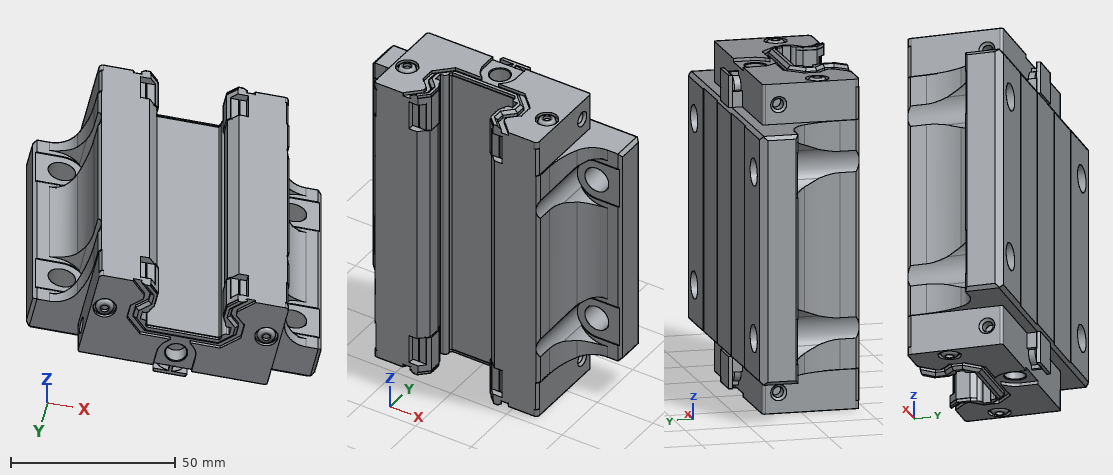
import cadquery as cq
import math


length = 105.0
width = 90.0
height = 35.0
half_width = width / 2
half_length = length / 2

block_half_length = 39.0
body_half_width = 29.8
flange_underside = 23.1
flange_fillet_radius = 8.4
flange_fillet_start = 40.0
web_arc_radius = 29.1
body_edge_chamfer = 0.8
body_edge_chamfer_rise = 1.2
flange_chamfer = 1.2
flange_top_chamfer = 2.0
flange_top_chamfer_drop = 2.1
flange_bottom_chamfer_rise = 0.8
top_recess_inner = 8.6
top_recess_outer = 25.1
top_recess_depth = 0.2

hole_x = 36.0
hole_z = 26.0
hole_diameter = 8.6
pad_radius = 7.0
pad_depth = 0.3
relief_radius = 8.9
relief_x = 38.3

channel_ceiling = 15.6
channel_mouth = 10.6
channel_foot = 13.5
block_clearance = 0.4
lip_clearance = 0.2

cap_half_width = 29.5
cap_top = 30.5
cap_back_corner = 0.8
cap_edge_chamfer = 0.7
cap_edge_chamfer_rise = 1.2
plate_corner = 1.2
plate_start = 49.0
plate_end = 51.6
recess_floor = 50.5

port_y = 25.1
port_diameter = 6.5
port_mouth_diameter = 7.0
port_depth = 5.2
port_land_radius = 6.0
side_port_y = 25.4
side_port_z = 45.0
side_port_diameter = 3.4
side_port_mouth_diameter = 5.0
side_port_depth = 4.2
screw_x = 25.2
screw_y = 12.2
screw_recess_diameter = 7.0
screw_recess_depth = 1.0
screw_head_diameter = 5.7
screw_head_rise = 0.3
screw_top_diameter = 3.4
socket_diameter = 2.5
socket_depth = 1.0

pocket_inner = 11.8
pocket_outer = 16.8
pocket_depth = 2.1
slit_x = 14.5
slit_width = 0.4
slit_depth = 0.5

stub_half_width = 4.9
stub_flare = 0.4
stub_top = 34.8
stub_plate_underside = 33.6
stub_neck_top = 32.5
stub_block_end = 43.9
pin_z = 44.3
pin_diameter = 7.0
pin_flare_diameter = 9.0
rib_half_width = 0.5


def box(x0, x1, y0, y1, z0, z1):
    """Box between two opposite corners."""
    return cq.Workplane("XY").box(x1 - x0, y1 - y0, z1 - z0, centered=False).translate((x0, y0, z0))


def both_sides(shape):
    """The shape together with its mirror image across X = 0."""
    return shape.union(shape.mirror("YZ"))


def mirrored_outline(half_points):
    """Closed outline from a half outline that runs from the top centre to the foot."""
    return half_points + [(-x, y) for x, y in reversed(half_points)]


def prism(points, z0, z1):
    """Straight prism along Z over an XY outline."""
    return cq.Workplane("XY").workplane(offset=z0).polyline(points).close().extrude(z1 - z0)


def channel(widening, ceiling, z0, z1):
    """Rail channel up to the given ceiling; widening opens the mouth between the two feet."""
    groove_width = 13.9
    groove_low = 10.5
    groove_high = 13.2
    lip = 11.8
    lip_start = 7.4
    lip_top = 15.1
    ceiling_half_width = 11.2
    corner = 1.3
    bend = corner * (1 - math.sqrt(0.5))
    mouth = channel_mouth + widening
    foot = channel_foot + widening
    mouth_start = foot - mouth
    half = (
        cq.Workplane("XY")
        .workplane(offset=z0)
        .moveTo(0, 0)
        .lineTo(foot, 0)
        .lineTo(mouth, mouth_start)
        .lineTo(mouth, lip_start)
        .lineTo(lip, groove_low - corner)
        .threePointArc((lip + bend, groove_low - bend), (lip + corner, groove_low))
        .lineTo(groove_width, groove_low)
        .lineTo(groove_width, groove_high)
        .lineTo(lip + corner, groove_high)
        .threePointArc((lip + bend, groove_high + bend), (lip, groove_high + corner))
        .lineTo(lip, lip_top)
        .lineTo(ceiling_half_width, ceiling)
        .lineTo(0, ceiling)
        .close()
        .extrude(z1 - z0)
    )
    return both_sides(half)


def block_profile():
    """Right half of the block section: body, curved web and flange."""
    fillet_y = flange_underside - flange_fillet_radius
    web_x = body_half_width + web_arc_radius
    dx = web_x - flange_fillet_start
    center_distance = web_arc_radius - flange_fillet_radius
    web_y = fillet_y - math.sqrt(center_distance**2 - dx**2)
    join_angle = math.atan2(fillet_y - web_y, -dx)

    def on_fillet(angle):
        return (
            flange_fillet_start + flange_fillet_radius * math.cos(angle),
            fillet_y + flange_fillet_radius * math.sin(angle),
        )

    def on_web(angle):
        return (web_x + web_arc_radius * math.cos(angle), web_y + web_arc_radius * math.sin(angle))

    return (
        cq.Workplane("XY")
        .workplane(offset=-block_half_length)
        .moveTo(0, 0)
        .lineTo(body_half_width - body_edge_chamfer, 0)
        .lineTo(body_half_width, body_edge_chamfer_rise)
        .lineTo(body_half_width, web_y)
        .threePointArc(on_web((math.pi + join_angle) / 2), on_web(join_angle))
        .threePointArc(on_fillet((math.pi / 2 + join_angle) / 2), (flange_fillet_start, flange_underside))
        .lineTo(half_width - flange_chamfer, flange_underside)
        .lineTo(half_width, flange_underside + flange_bottom_chamfer_rise)
        .lineTo(half_width, height - flange_top_chamfer_drop)
        .lineTo(half_width - flange_top_chamfer, height)
        .lineTo(0, height)
        .close()
    )


def end_bevel_cutter():
    """Wedge that bevels the top edge at the +Z end of the block."""
    return (
        cq.Workplane("YZ")
        .workplane(offset=-half_width)
        .polyline(
            [
                (height, block_half_length - flange_chamfer),
                (height, block_half_length),
                (height - flange_chamfer, block_half_length),
            ]
        )
        .close()
        .extrude(width)
    )


def corner_bevel_cutter():
    """Wedge that bevels the outer flange edge at the +X, +Z corner."""
    return (
        cq.Workplane("XZ")
        .polyline(
            [
                (half_width - flange_chamfer, block_half_length),
                (half_width, block_half_length),
                (half_width, block_half_length - flange_chamfer),
            ]
        )
        .close()
        .extrude(-height)
    )


def open_slot(x, z, radius, depth_y):
    """Slot milled from the rail side up to depth_y, rounded inward, open outward."""
    round_end = cq.Workplane("XZ").center(x, z).circle(radius).extrude(-depth_y)
    return round_end.union(box(x, half_width, 0, depth_y, z - radius, z + radius))


def mounting_cut(z):
    """Mounting hole on the +X side with its flat pad and wider relief."""
    relief = open_slot(relief_x, z, relief_radius, flange_underside)
    pad = open_slot(hole_x, z, pad_radius, flange_underside + pad_depth)
    hole = cq.Workplane("XZ").center(hole_x, z).circle(hole_diameter / 2).extrude(-height)
    return relief.union(pad).union(hole)


def steel_block():
    block = both_sides(block_profile().extrude(2 * block_half_length))
    for cutter in (end_bevel_cutter(), both_sides(corner_bevel_cutter())):
        block = block.cut(cutter).cut(cutter.mirror("XY"))
    top_recess = box(
        top_recess_inner,
        top_recess_outer,
        height - top_recess_depth,
        height,
        -block_half_length,
        block_half_length,
    )
    block = block.cut(both_sides(top_recess))
    for z in (-hole_z, hole_z):
        block = block.cut(both_sides(mounting_cut(z)))
    return block.cut(channel(block_clearance, channel_ceiling, -block_half_length, block_half_length))


def seal_recess():
    """Sunken land around the rail seal, with a keyhole around the grease port."""
    land = prism(
        mirrored_outline(
            [(12.5, 19.6), (17.7, 14.4), (17.7, 9.5), (14.5, 6.2), (14.5, 4.7), (19.0, 0.2), (19.0, 0)]
        ),
        recess_floor,
        plate_end,
    )
    tangent = port_land_radius * math.sqrt(0.5)
    keyhole_half = (
        cq.Workplane("XY")
        .workplane(offset=recess_floor)
        .moveTo(0, cap_top)
        .lineTo(port_land_radius, cap_top)
        .lineTo(port_land_radius, port_y)
        .threePointArc(
            (port_land_radius * math.cos(math.pi / 8), port_y - port_land_radius * math.sin(math.pi / 8)),
            (tangent, port_y - tangent),
        )
        .lineTo(0, port_y - 2 * tangent)
        .close()
        .extrude(plate_end - recess_floor)
    )
    return land.union(both_sides(keyhole_half))


def seal_ring():
    """Bevelled seal lip around the rail; the channel is cut out of it later."""
    base = mirrored_outline([(11.4, 18.1), (16.1, 13.4), (16.1, 9.9), (12.8, 6.6), (12.8, 3.7), (16.5, 0)])
    crest = mirrored_outline([(11.1, 17.0), (15.0, 13.1), (15.0, 10.2), (11.8, 6.9), (11.8, 3.5), (15.2, 0)])
    bevel = (
        cq.Workplane("XY")
        .workplane(offset=plate_end)
        .polyline(base)
        .close()
        .workplane(offset=half_length - plate_end)
        .polyline(crest)
        .close()
        .loft(ruled=True)
    )
    return prism(base, recess_floor, plate_end).union(bevel)


def foot_pocket():
    """Pocket in the rail-side foot of the cap, with a narrow slit in its floor."""
    pocket = box(pocket_inner, pocket_outer, 0, pocket_depth, block_half_length, plate_start)
    slit = box(
        slit_x - slit_width / 2,
        slit_x + slit_width / 2,
        0,
        pocket_depth + slit_depth,
        block_half_length,
        plate_start,
    )
    return pocket.union(slit)


def screw_recess():
    floor = plate_end - screw_recess_depth
    return (
        cq.Workplane("XY")
        .workplane(offset=floor)
        .center(screw_x, screw_y)
        .circle(screw_recess_diameter / 2)
        .extrude(screw_recess_depth)
    )


def screw_head():
    """Domed screw head with a round socket."""
    floor = plate_end - screw_recess_depth
    crown = plate_end + screw_head_rise
    head_radius = screw_head_diameter / 2
    top_radius = screw_top_diameter / 2
    shoulder = ((3 * head_radius + top_radius) / 4, (floor + 2 * crown) / 3)
    head = (
        cq.Workplane("XZ")
        .moveTo(0, floor)
        .lineTo(head_radius, floor)
        .threePointArc(shoulder, (top_radius, crown))
        .lineTo(socket_diameter / 2, crown)
        .lineTo(socket_diameter / 2, crown - socket_depth)
        .lineTo(0, crown - socket_depth)
        .close()
        .revolve(360, (0, 0, 0), (0, 1, 0))
    )
    return head.translate((screw_x, screw_y, 0))


def countersunk_hole(diameter, mouth_diameter, depth):
    """Blind hole along -Z from the origin with a 45 degree mouth."""
    bevel = (mouth_diameter - diameter) / 2
    return (
        cq.Workplane("XZ")
        .polyline(
            [(0, 0), (mouth_diameter / 2, 0), (diameter / 2, -bevel), (diameter / 2, -depth), (0, -depth)]
        )
        .close()
        .revolve(360, (0, 0, 0), (0, 1, 0))
    )


def side_port():
    """Grease hole in the +X side of the cap."""
    hole = countersunk_hole(side_port_diameter, side_port_mouth_diameter, side_port_depth)
    return hole.rotate((0, 0, 0), (0, 1, 0), 90).translate((cap_half_width, side_port_y, side_port_z))


def lubrication_stub():
    """Stub behind the cap: a block, a necked pin with a rib, and a top plate."""
    foot_half_width = stub_half_width + stub_flare
    plate = prism(
        [
            (-foot_half_width, stub_plate_underside),
            (foot_half_width, stub_plate_underside),
            (stub_half_width, stub_top),
            (-stub_half_width, stub_top),
        ],
        block_half_length,
        plate_start,
    )
    base = box(
        -stub_half_width, stub_half_width, cap_top, stub_plate_underside, block_half_length, stub_block_end
    )
    rib = box(-rib_half_width, rib_half_width, cap_top, stub_plate_underside, block_half_length, plate_start)
    pin = (
        cq.Workplane("XY")
        .polyline(
            [
                (0, cap_top),
                (pin_diameter / 2, cap_top),
                (pin_diameter / 2, stub_neck_top),
                (pin_flare_diameter / 2, stub_plate_underside),
                (0, stub_plate_underside),
            ]
        )
        .close()
        .revolve(360, (0, 0, 0), (0, 1, 0))
        .translate((0, 0, pin_z))
    )
    return plate.union(base).union(rib).union(pin)


def end_cap():
    """Plastic end cap at the +Z end."""
    foot_half_width = cap_half_width - cap_edge_chamfer
    body = prism(
        mirrored_outline(
            [(cap_half_width, cap_top), (cap_half_width, cap_edge_chamfer_rise), (foot_half_width, 0)]
        ),
        block_half_length,
        plate_start,
    )
    body = body.edges("|Z and >Y").fillet(cap_back_corner)
    plate = box(-cap_half_width, cap_half_width, 0, cap_top, plate_start, plate_end)
    plate = plate.edges("|Z and >Y").fillet(cap_back_corner)
    plate = plate.edges("|Z and <Y").fillet(plate_corner)
    cap = body.union(plate)
    cap = cap.cut(seal_recess()).union(seal_ring())
    cap = cap.cut(channel(0, channel_ceiling, block_half_length, half_length))
    cap = cap.cut(channel(lip_clearance, channel_ceiling + lip_clearance, plate_end, half_length))
    cap = cap.cut(both_sides(foot_pocket())).cut(both_sides(side_port()))
    cap = cap.cut(both_sides(screw_recess())).union(both_sides(screw_head()))
    port = countersunk_hole(port_diameter, port_mouth_diameter, port_depth)
    cap = cap.cut(port.translate((0, port_y, recess_floor)))
    return cap.union(lubrication_stub())


cap = end_cap()
result = steel_block().union(cap).union(cap.mirror("XY"))